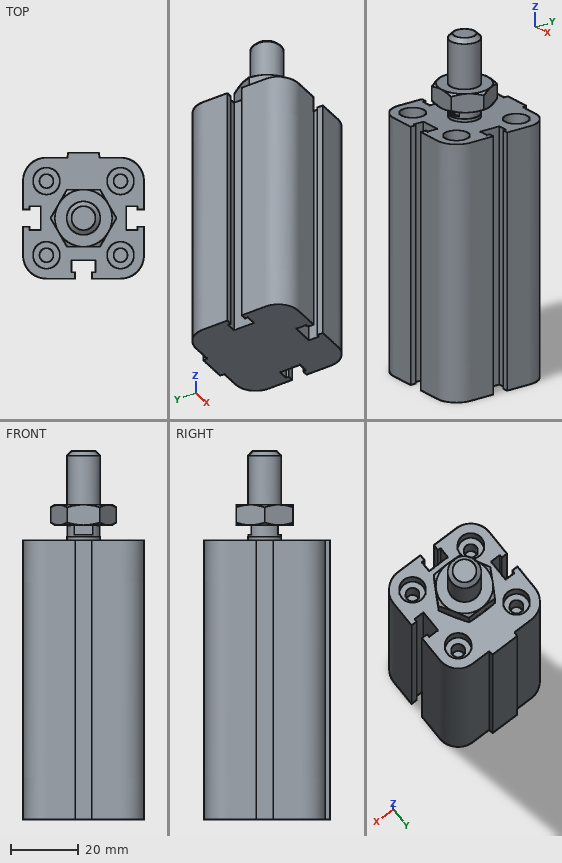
import cadquery as cq
import math

housing_width = 36.0
housing_height = 83.0
cap_height = 12.5
corner_radius = 7.0

rib_base_width = 9.6
rib_top_width = 9.2
rib_height = 1.4

slot_mouth_width = 5.0
slot_inner_width = 7.0
slot_lip = 2.0
side_slot_depth = 5.3
front_slot_depth = 5.5

hole_offset = housing_width / 2 - corner_radius
counterbore_diameter = 8.0
counterbore_depth = 5.0
hole_diameter = 4.2
hole_depth = cap_height

top_of_rod = 109.5
rod_diameter = 10.0
neck_diameter = 9.7
collar_height = 1.0
flats_width = 8.0
flats_start = 1.6
neck_end = 4.4
relief_diameter = 7.9
tip_chamfer = 1.4

nut_clearance = 4.5
nut_bottom = housing_height + nut_clearance
nut_height = 6.0
nut_sides = 6
nut_across_flats = 17.0
nut_bevel_angle = 30.0


def make_slot(depth, length, turn):
    """T-slot cutter for the -Y face, turned about Z to the wanted face."""
    mouth = cq.Workplane("XY").rect(slot_mouth_width, 2 * slot_lip).extrude(length)
    pocket_depth = depth - slot_lip
    pocket = (
        cq.Workplane("XY")
        .center(0, slot_lip + pocket_depth / 2)
        .rect(slot_inner_width, pocket_depth)
        .extrude(length)
    )
    slot = mouth.union(pocket).translate((0, -housing_width / 2, 0))
    return slot.rotate((0, 0, 0), (0, 0, 1), turn)


def make_housing_section(base, length):
    """One length of the housing profile: rounded square, rib and three T-slots."""
    section = (
        cq.Workplane("XY")
        .rect(housing_width, housing_width)
        .extrude(length)
        .edges("|Z")
        .fillet(corner_radius)
    )
    face = housing_width / 2
    rib = (
        cq.Workplane("XY")
        .polyline([
            (-rib_base_width / 2, 0),
            (-rib_base_width / 2, face),
            (-rib_top_width / 2, face + rib_height),
            (rib_top_width / 2, face + rib_height),
            (rib_base_width / 2, face),
            (rib_base_width / 2, 0),
        ])
        .close()
        .extrude(length)
    )
    section = section.union(rib)

    for depth, turn in ((front_slot_depth, 0), (side_slot_depth, 90), (side_slot_depth, -90)):
        section = section.cut(make_slot(depth, length, turn))
    return section.translate((0, 0, base))


def make_housing():
    barrel_height = housing_height - 2 * cap_height
    body = make_housing_section(0, cap_height)
    body = body.union(make_housing_section(cap_height, barrel_height), clean=False)
    body = body.union(make_housing_section(cap_height + barrel_height, cap_height), clean=False)

    return (
        body.faces(">Z")
        .workplane(origin=(0, 0, housing_height))
        .rect(2 * hole_offset, 2 * hole_offset, forConstruction=True)
        .vertices()
        .cboreHole(hole_diameter, counterbore_diameter, counterbore_depth, hole_depth, clean=False)
    )


def make_cylinder(diameter, start, end):
    return cq.Workplane("XY").workplane(offset=start).circle(diameter / 2).extrude(end - start)


def make_rod():
    neck_bottom = housing_height + collar_height
    flats_bottom = housing_height + flats_start
    neck_top = housing_height + neck_end

    collar = make_cylinder(rod_diameter, housing_height, neck_bottom)
    round_neck = make_cylinder(neck_diameter, neck_bottom, flats_bottom)

    flats_slab = (
        cq.Workplane("XY")
        .workplane(offset=flats_bottom)
        .rect(neck_diameter, flats_width)
        .extrude(neck_top - flats_bottom)
    )
    flat_neck = make_cylinder(neck_diameter, flats_bottom, neck_top).intersect(flats_slab)

    relief = make_cylinder(relief_diameter, neck_top, nut_bottom)
    thread = make_cylinder(rod_diameter, nut_bottom, top_of_rod).faces(">Z").chamfer(tip_chamfer)

    return collar.union(round_neck).union(flat_neck).union(relief).union(thread)


def make_nut():
    across_corners = nut_across_flats / math.cos(math.pi / nut_sides)
    nut_top = nut_bottom + nut_height
    hexagon = (
        cq.Workplane("XY")
        .workplane(offset=nut_bottom)
        .polygon(nut_sides, across_corners)
        .circle(rod_diameter / 2)
        .extrude(nut_height)
    )

    flat_radius = nut_across_flats / 2
    tip_radius = across_corners / 2
    bevel_drop = (tip_radius - flat_radius) * math.tan(math.radians(nut_bevel_angle))
    blank = (
        cq.Workplane("XZ")
        .polyline([
            (0, nut_bottom),
            (flat_radius, nut_bottom),
            (tip_radius, nut_bottom + bevel_drop),
            (tip_radius, nut_top - bevel_drop),
            (flat_radius, nut_top),
            (0, nut_top),
        ])
        .close()
        .revolve()
    )
    return hexagon.intersect(blank)


housing = make_housing()
rod = make_rod()
nut = make_nut()
result = cq.Compound.makeCompound([housing.val(), rod.val(), nut.val()])